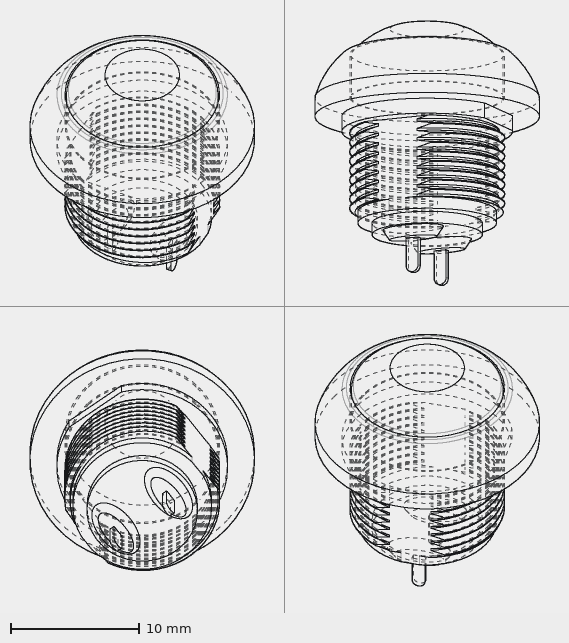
import cadquery as cq

height = 19.9
button_corner_z = 17.91
cap_top_z = 17.9
cap_rim_z = 14.43
cap_bottom_z = 12.92
flange_bottom_z = 11.72
collar_top_z = 5.33
collar_bottom_z = 4.42
plug_bottom_z = 3.5
boss_bottom_z = 2.73

cap_diameter = 17.5
cap_top_diameter = 12.97
bore_diameter = 12.0
dome_radius = 7.2
edge_fillet = 0.5

button_diameter = 11.8
button_top_diameter = 5.8
dish_depth = 0.05

flange_diameter = 13.3
flange_flat_y = 6.15

thread_diameter = 12.08
root_diameter = 11.2
eight_turns = 6.0
thread_pitch = eight_turns / 8
crest_width = 0.08
ridge_base_width = 0.64
ridge_start_z = 4.62
ridge_half_turns = 20
ridge_embed = 0.05
across_flats = 10.7

collar_diameter = 10.8
plug_diameter = 8.6

terminal_spacing = 5.1
boss_top_width = 2.79
boss_bottom_width = 1.71
boss_top_length = 5.05
boss_bottom_length = 4.02
pin_thickness = 0.4
pin_width = 1.03


def disc(diameter, bottom_z, top_z):
    """Cylinder on the Z axis between two heights."""
    return cq.Workplane("XY", origin=(0, 0, bottom_z)).circle(diameter / 2).extrude(top_z - bottom_z)


def make_cap():
    """Domed cap with a rounded top edge and a blind bore for the button."""
    rim_radius = cap_diameter / 2
    profile = (
        cq.Workplane("XZ")
        .moveTo(0, cap_bottom_z)
        .lineTo(rim_radius, cap_bottom_z)
        .lineTo(rim_radius, cap_rim_z)
        .radiusArc((cap_top_diameter / 2, cap_top_z), -dome_radius)
        .lineTo(0, cap_top_z)
        .close()
    )
    cap = profile.revolve(360, (0, 0), (0, 1)).faces(">Z").edges().fillet(edge_fillet)
    return cap.cut(disc(bore_diameter, cap_rim_z, cap_top_z))


def make_flange():
    """Round flange cut flat on its -Y side."""
    flange = disc(flange_diameter, flange_bottom_z, cap_bottom_z)
    beyond_flat = (
        cq.Workplane("XZ", origin=(0, -flange_flat_y, 0))
        .rect(flange_diameter, 2 * height)
        .extrude(flange_diameter)
    )
    return flange.cut(beyond_flat)


def make_ridge_half_turn():
    """Half turn of a right-handed helical ridge, from the +X side over +Y to the -X side."""
    inner_radius = root_diameter / 2 - ridge_embed
    crest_radius = thread_diameter / 2
    section = (
        cq.Workplane("XZ")
        .moveTo(inner_radius, -ridge_base_width / 2)
        .lineTo(crest_radius, -crest_width / 2)
        .lineTo(crest_radius, crest_width / 2)
        .lineTo(inner_radius, ridge_base_width / 2)
        .close()
    )
    helix = cq.Wire.makeHelix(thread_pitch, thread_pitch / 2, crest_radius)
    return section.sweep(cq.Workplane(helix), isFrenet=True)


def slab_between_flats(bottom_z, top_z):
    """Slab as wide as the distance across the flats, between two heights."""
    slab = cq.Workplane("XY", origin=(0, 0, bottom_z)).rect(across_flats, cap_diameter)
    return slab.extrude(top_z - bottom_z)


def make_barrel():
    """Barrel at the root diameter of the thread, with its collar below, both cut flat on two sides."""
    core = disc(root_diameter, collar_top_z, flange_bottom_z)
    core = core.union(disc(collar_diameter, collar_bottom_z, collar_top_z))
    return core.intersect(slab_between_flats(collar_bottom_z, flange_bottom_z))


def make_thread():
    """Half turns of ridge stacked up the barrel, trimmed at the flats, the collar and the flange."""
    half_turn = make_ridge_half_turn()
    ridges = []
    for i in range(ridge_half_turns):
        rise = ridge_start_z + i * thread_pitch / 2
        ridges.append(half_turn.rotate((0, 0, 0), (0, 0, 1), 180 * i).translate((0, 0, rise)).val())
    thread = cq.Workplane(cq.Compound.makeCompound(ridges))
    return thread.intersect(slab_between_flats(collar_top_z, flange_bottom_z))


def make_terminal(x):
    """Tapered oval boss with a round-ended flat pin below it."""
    boss = (
        cq.Workplane("XY", origin=(x, 0, boss_bottom_z))
        .ellipse(boss_bottom_length / 2, boss_bottom_width / 2, rotation_angle=-90)
        .workplane(offset=plug_bottom_z - boss_bottom_z)
        .ellipse(boss_top_length / 2, boss_top_width / 2, rotation_angle=-90)
        .loft()
    )
    tip_radius = pin_width / 2
    pin = (
        cq.Workplane("YZ", origin=(x - pin_thickness / 2, 0, 0))
        .moveTo(-tip_radius, boss_bottom_z)
        .lineTo(-tip_radius, tip_radius)
        .threePointArc((0, 0), (tip_radius, tip_radius))
        .lineTo(tip_radius, boss_bottom_z)
        .close()
        .extrude(pin_thickness)
    )
    return boss.union(pin)


def make_housing():
    """Cap, flange, threaded barrel, plug and terminals as one body."""
    housing = make_cap().union(make_flange()).union(make_barrel())
    housing = housing.union(disc(plug_diameter, plug_bottom_z, collar_bottom_z))
    for x in (-terminal_spacing / 2, terminal_spacing / 2):
        housing = housing.union(make_terminal(x))
    return housing.union(make_thread())


def make_button():
    """Domed button with a shallow dished top, standing on the floor of the bore."""
    wall_radius = button_diameter / 2
    top_radius = button_top_diameter / 2
    body = (
        cq.Workplane("XZ")
        .moveTo(0, cap_rim_z)
        .lineTo(wall_radius, cap_rim_z)
        .lineTo(wall_radius, button_corner_z)
        .radiusArc((top_radius, height), -dome_radius)
        .lineTo(0, height)
        .close()
        .revolve(360, (0, 0), (0, 1))
        .faces("%CYLINDER")
        .edges(">Z")
        .fillet(edge_fillet)
    )
    dish_radius = (top_radius**2 + dish_depth**2) / (2 * dish_depth)
    dish_center_z = height - dish_depth + dish_radius
    dish = cq.Workplane("XY", origin=(0, 0, dish_center_z)).sphere(dish_radius, direct=(1, 0, 0))
    return body.cut(dish)


housing = make_housing()
button = make_button()
result = cq.Compound.makeCompound([housing.val(), button.val()])